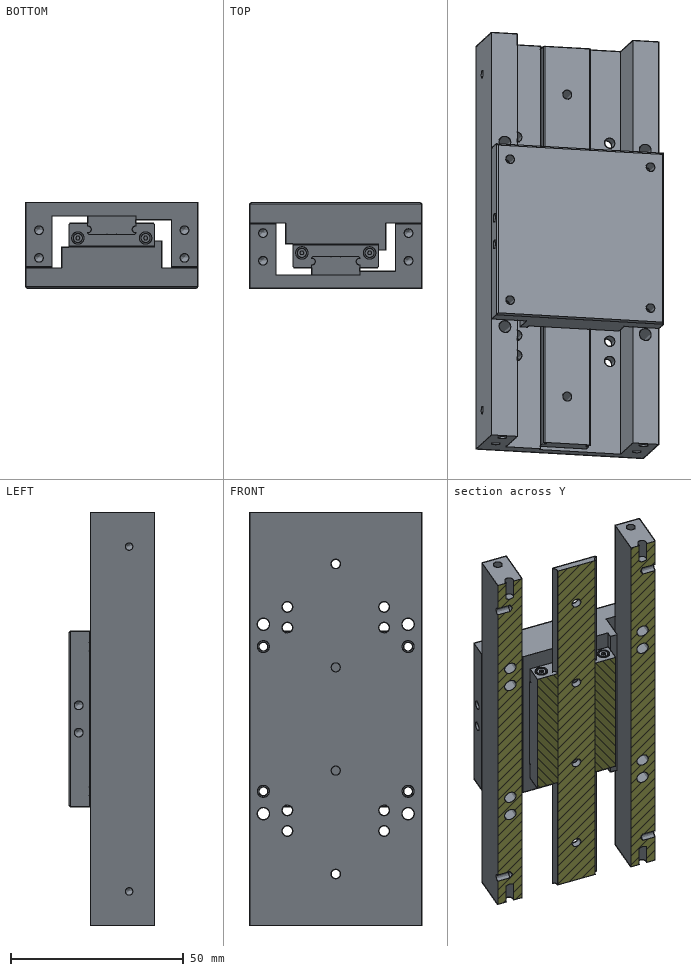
import cadquery as cq
import math


slide_length = 120.0
slide_width = 50.0
slide_height = 25.0

wall_height = 18.7
channel_width = 34.5
floor_height = 4.0
ledge_height = 5.0

rail_width = 14.0
rail_top = 9.2
rail_end_setback = 1.0
rail_top_chamfer = 0.4
rail_groove_radius = 1.0
rail_groove_center_depth = 0.1
rail_groove_y = 7.8

table_length = 51.0
table_underside = 19.0
table_chamfer = 0.5
boss_width = 29.2
boss_underside = 13.0
stop_underside = 11.2

block_width = 24.8
block_underside = 6.0
block_body_length = 30.8
block_length = 41.0
block_chamfer = 0.4
cap_top_clearance = 0.4
screw_x = 9.8
screw_y = 10.3
screw_recess_radius = 1.8
screw_recess_depth = 1.0
screw_head_radius = 1.3
screw_socket_size = 1.2
screw_socket_depth = 0.6

rail_hole_diameter = 2.6
rail_hole_pitch = 30.0
rail_hole_count = 4
floor_hole_diameter = 3.0
floor_hole_x = 14.0
floor_hole_z = (26.5, 32.5)
wall_hole_diameter = 3.5
wall_hole_x = 21.0
inner_wall_hole_z = 21.0
outer_wall_hole_z = 27.5
table_hole_diameter = 2.5
end_hole_diameter = 2.5
end_hole_x = 21.1
end_hole_y = (8.0, 16.1)
end_hole_depth = 6.0
base_side_hole_diameter = 2.2
base_side_hole_y = 7.5
base_side_hole_z = 50.0
base_side_hole_depth = 4.0
table_side_hole_diameter = 2.5
table_side_hole_y = 22.1
table_side_hole_z = 4.0
table_side_hole_depth = 6.0
drill_point_angle = 118.0

half_width = slide_width / 2
half_length = slide_length / 2
half_rail = rail_width / 2


def box(x_range, y_range, length):
    """Box between two X and two Y limits, centred along Z."""
    width = x_range[1] - x_range[0]
    height = y_range[1] - y_range[0]
    return cq.Workplane("XY").box(width, height, length).translate((sum(x_range) / 2, sum(y_range) / 2, 0))


def centred_box(width, y_range, length):
    return box((-width / 2, width / 2), y_range, length)


def y_hole(diameter, x, z):
    """Straight cutter through the full height."""
    solid = cq.Solid.makeCylinder(diameter / 2, slide_height, cq.Vector(x, 0, z), cq.Vector(0, 1, 0))
    return cq.Workplane(obj=solid)


def drilled_hole(diameter, depth, mouth, direction):
    """Blind cutter with a conical drill point, starting at mouth."""
    radius = diameter / 2
    point_length = radius / math.tan(math.radians(drill_point_angle / 2))
    start = cq.Vector(*mouth)
    axis = cq.Vector(*direction)
    shaft = cq.Solid.makeCylinder(radius, depth, start, axis)
    point = cq.Solid.makeCone(radius, 0, point_length, start + axis * depth, axis)
    return cq.Workplane(obj=shaft.fuse(point))


def cut_side_holes(body, diameter, depth, y, z_offset):
    """Drill two blind holes into each of the -X and +X sides."""
    for side in (-1, 1):
        for z in (-z_offset, z_offset):
            body = body.cut(drilled_hole(diameter, depth, (side * half_width, y, z), (-side, 0, 0)))
    return body


def make_rail(length):
    """Grooved rail profile standing on the channel floor."""
    rail = centred_box(rail_width, (floor_height, rail_top), length)
    rail = rail.edges("|Z and >Y").chamfer(rail_top_chamfer)
    groove_x = half_rail - rail_groove_center_depth
    grooves = (
        cq.Workplane("XY", origin=(0, 0, -length / 2))
        .pushPoints([(-groove_x, rail_groove_y), (groove_x, rail_groove_y)])
        .circle(rail_groove_radius)
        .extrude(length)
    )
    return rail.cut(grooves)


def make_base():
    half_channel = channel_width / 2
    body = centred_box(slide_width, (0, wall_height), slide_length)
    body = body.cut(box((-half_channel, half_rail), (floor_height, wall_height), slide_length))
    body = body.cut(box((half_rail, half_channel), (ledge_height, wall_height), slide_length))
    body = body.union(make_rail(slide_length - 2 * rail_end_setback))

    for index in range(rail_hole_count):
        z = (index - (rail_hole_count - 1) / 2) * rail_hole_pitch
        body = body.cut(y_hole(rail_hole_diameter, 0, z))

    for side in (-1, 1):
        for end in (-1, 1):
            for z in floor_hole_z:
                body = body.cut(y_hole(floor_hole_diameter, side * floor_hole_x, end * z))
            for z in (inner_wall_hole_z, outer_wall_hole_z):
                body = body.cut(y_hole(wall_hole_diameter, side * wall_hole_x, end * z))

    for side in (-1, 1):
        for end in (-1, 1):
            for y in end_hole_y:
                mouth = (side * end_hole_x, y, end * half_length)
                body = body.cut(drilled_hole(end_hole_diameter, end_hole_depth, mouth, (0, 0, -end)))

    return cut_side_holes(
        body, base_side_hole_diameter, base_side_hole_depth, base_side_hole_y, base_side_hole_z
    )


def screw_recess(x, end):
    """Cutter that leaves a socket screw head sunk in an end cap; end is -1 or +1 along Z."""
    cap_face = cq.Workplane("XY", origin=(x, screw_y, block_length / 2))
    gap = cap_face.circle(screw_recess_radius).circle(screw_head_radius).extrude(-screw_recess_depth)
    socket = cap_face.polygon(6, screw_socket_size).extrude(-screw_socket_depth)
    cutter = gap.add(socket).combine()
    return cutter if end > 0 else cutter.mirror("XY")


def make_block():
    """Bearing block with end caps, its channel fitting the rail."""
    body = centred_box(block_width, (block_underside, boss_underside), block_body_length)
    caps = centred_box(block_width, (block_underside, boss_underside - cap_top_clearance), block_length)
    block = body.union(caps).faces("<Y").edges("|Z").chamfer(block_chamfer)
    for x in (-screw_x, screw_x):
        for end in (-1, 1):
            block = block.cut(screw_recess(x, end))
    return block.cut(make_rail(slide_length))


def make_table():
    half_boss = boss_width / 2
    plate = centred_box(slide_width, (table_underside, slide_height), table_length)
    plate = plate.faces(">Y").chamfer(table_chamfer)
    boss = centred_box(boss_width, (boss_underside, table_underside), table_length)
    stop = box((block_width / 2, half_boss), (stop_underside, boss_underside), table_length)
    body = plate.union(boss).union(stop).union(make_block())

    for x in (-wall_hole_x, wall_hole_x):
        for z in (-inner_wall_hole_z, inner_wall_hole_z):
            body = body.cut(y_hole(table_hole_diameter, x, z))

    return cut_side_holes(
        body, table_side_hole_diameter, table_side_hole_depth, table_side_hole_y, table_side_hole_z
    )


base = make_base()
table = make_table()

result = cq.Compound.makeCompound([base.solids().val(), table.solids().val()])